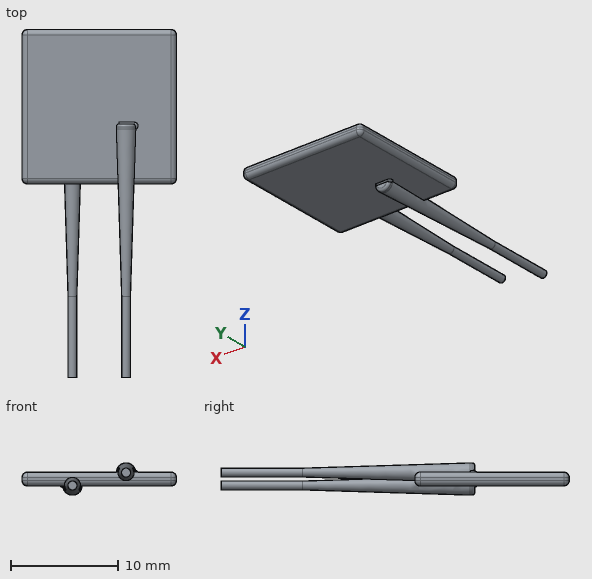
import cadquery as cq

total_length = 32.4
total_height = 3.0

body_side = 14.4
body_thickness = 1.3
body_edge_radius = 0.52

lead_pitch = 5.0
wire_radius = 0.42
wire_length = 7.55
coating_end_radius = 0.9
coating_end_y = 23.62
coating_edge_radius = 0.3
coating_straight_length = 0.2

hook_axis_y = 23.43
hook_start_x = -0.65
hook_tip_center_x = 0.78
hook_drop = 0.2

lead_offset_z = total_height / 2 - coating_end_radius


def make_body():
    """Square plate with all edges rounded."""
    body_center_y = total_length - body_side / 2
    return (
        cq.Workplane("XY")
        .box(body_side, body_side, body_thickness)
        .edges()
        .fillet(body_edge_radius)
        .translate((0, body_center_y, 0))
    )


def make_coated_wire():
    """Wire and rounded, tapered coating revolved about the Y axis."""
    rounding_start_y = coating_end_y - coating_edge_radius
    taper_end_y = rounding_start_y - coating_straight_length
    profile = (
        cq.Workplane("YZ")
        .lineTo(0, wire_radius)
        .lineTo(wire_length, wire_radius)
        .lineTo(taper_end_y, coating_end_radius)
        .lineTo(rounding_start_y, coating_end_radius)
        .radiusArc(
            (coating_end_y, coating_end_radius - coating_edge_radius),
            coating_edge_radius,
        )
        .lineTo(coating_end_y, 0)
        .close()
    )
    return profile.revolve(360, (0, 0, 0), (1, 0, 0))


def make_hook():
    """Crosswise wire along X with a hemispherical tip on the +X side."""
    hook_axis_start = (hook_start_x, hook_axis_y)
    hook_axis_end = (hook_tip_center_x, hook_axis_y)
    profile = (
        cq.Workplane("XY")
        .moveTo(*hook_axis_start)
        .lineTo(hook_start_x, hook_axis_y + wire_radius)
        .lineTo(hook_tip_center_x, hook_axis_y + wire_radius)
        .radiusArc((hook_tip_center_x + wire_radius, hook_axis_y), wire_radius)
        .close()
    )
    hook = profile.revolve(360, hook_axis_start, hook_axis_end)
    return hook.translate((0, 0, -hook_drop))


def make_lead():
    """Lead on the upper face of the body."""
    lead = make_coated_wire().union(make_hook())
    return lead.translate((lead_pitch / 2, 0, lead_offset_z))


upper_lead = make_lead()
lower_lead = upper_lead.rotate((0, 0, 0), (0, 1, 0), 180)
result = make_body().union(upper_lead).union(lower_lead)